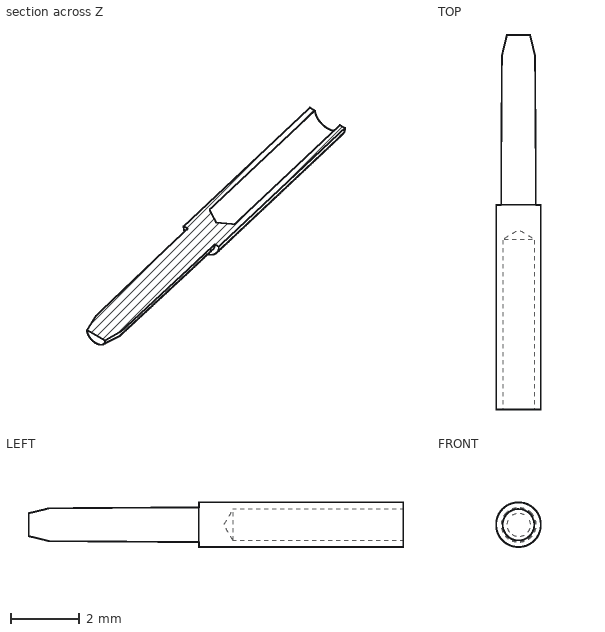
import cadquery as cq
import math

total_length = 11.0
sleeve_length = 6.01
collar_length = 1.0
tip_length = 0.6

sleeve_diameter = 1.32
collar_diameter = 1.02
pin_end_diameter = 0.98
tip_diameter = 0.68
bore_diameter = 0.92

bore_depth = 5.0
drill_point_angle = 118.0

sleeve_start = -total_length / 2
sleeve_end = sleeve_start + sleeve_length
collar_end = sleeve_end + collar_length
tip_end = total_length / 2
tip_start = tip_end - tip_length
bore_end = sleeve_start + bore_depth
drill_point_length = bore_diameter / 2 / math.tan(math.radians(drill_point_angle / 2))


def revolve_about_y(profile):
    """Revolve a closed (radius, Y) profile around the Y axis."""
    return cq.Workplane("XY").polyline(profile).close().revolve(360, (0, 0, 0), (0, 1, 0))


body = revolve_about_y([
    (0, sleeve_start),
    (sleeve_diameter / 2, sleeve_start),
    (sleeve_diameter / 2, sleeve_end),
    (collar_diameter / 2, sleeve_end),
    (collar_diameter / 2, collar_end),
    (pin_end_diameter / 2, tip_start),
    (tip_diameter / 2, tip_end),
    (0, tip_end),
])

bore = revolve_about_y([
    (0, sleeve_start),
    (bore_diameter / 2, sleeve_start),
    (bore_diameter / 2, bore_end),
    (0, bore_end + drill_point_length),
])

result = body.cut(bore)